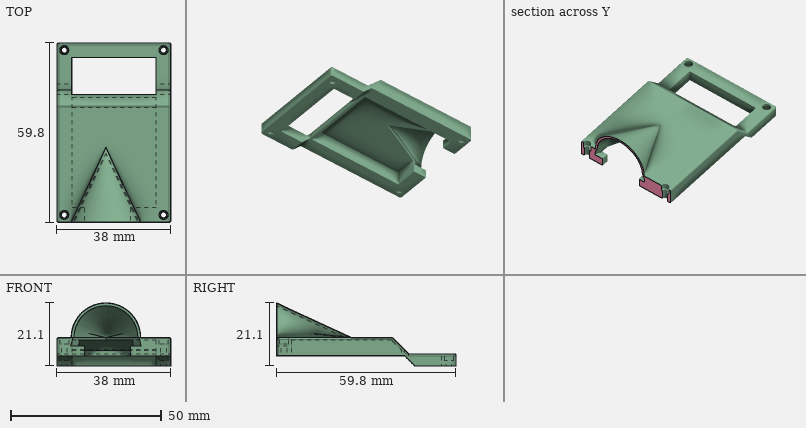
import cadquery as cq

width = 37.95
length = 59.8
total_height = 21.1

deck_top = 9.5
deck_underside = 3.45
low_deck_top = 4.1
slope_foot_y = 44.0
slope_crest_y = slope_foot_y - (deck_top - low_deck_top)
under_step_y = 42.6
edge_radius = 0.65

wall = 4.95
inner_width = width - 2 * wall
roof_thickness = 0.85
cavity_end_y = 41.6
slope_underside_drop = 1.2

hood_x = 16.3
hood_length = 25.0
hood_radius = total_height - deck_top
hood_wall = 0.95
hood_inner_radius = hood_radius - hood_wall
hood_inner_length = hood_length * hood_inner_radius / hood_radius
shelf_z = 6.7
mouth_bottom_half_width = 11.7
mouth_top_half_width = 11.0
notch_x = 16.85
notch_width = 15.35

hole_inset = 2.45
hole_diameter = 2.0
counterbore_diameter = 3.0
counterbore_depth = 2.15


def side_extrusion(points, x_start, x_length):
    """Extrude a (y, z) outline along X."""
    return cq.Workplane("YZ", origin=(x_start, 0, 0)).polyline(points).close().extrude(x_length)


def box_between(x_start, x_end, y_start, y_end, z_start, z_end):
    size = (x_end - x_start, y_end - y_start, z_end - z_start)
    return cq.Workplane("XY", origin=(x_start, y_start, z_start)).box(*size, centered=False)


def make_plate():
    outline = [
        (0, deck_underside),
        (under_step_y, deck_underside),
        (under_step_y + deck_underside, 0),
        (length, 0),
        (length, low_deck_top),
        (slope_foot_y, low_deck_top),
        (slope_crest_y, deck_top),
        (0, deck_top),
    ]
    plate = side_extrusion(outline, 0, width)
    crest = plate.edges(cq.NearestToPointSelector((width / 2, slope_crest_y, deck_top)))
    back_top = plate.edges(cq.NearestToPointSelector((width / 2, length, low_deck_top)))
    upper_side_edges = plate.edges("#X").edges(
        cq.selectors.BoxSelector(
            (-width, -length, low_deck_top - edge_radius / 2),
            (2 * width, length - wall, total_height),
        )
    )
    upper_side_edges = upper_side_edges.edges("not |Z")
    rounded = plate.edges("|Z").add(upper_side_edges).add(crest).add(back_top)
    return rounded.fillet(edge_radius)


def half_cone(radius, height):
    """Upper half of a cone on the deck, with its base on the front face."""
    profile = [(0, 0), (radius, 0), (0, height)]
    half_turn = 180
    return (
        cq.Workplane("XY", origin=(hood_x, 0, deck_top))
        .polyline(profile)
        .close()
        .revolve(half_turn, (0, 0, 0), (0, -1, 0))
    )


def mouth_triangle(half_width):
    return [(hood_x - half_width, 0), (hood_x + half_width, 0), (hood_x, hood_inner_length)]


def make_mouth():
    """Wedge below the hood, narrowing towards the hood tip and the deck."""
    return (
        cq.Workplane("XY", origin=(0, 0, shelf_z))
        .polyline(mouth_triangle(mouth_bottom_half_width))
        .close()
        .workplane(offset=deck_top - shelf_z)
        .polyline(mouth_triangle(mouth_top_half_width))
        .close()
        .loft(ruled=True)
    )


def make_cavity():
    """Space below the deck; its back end follows the slope, then drops straight."""
    ceiling_z = deck_top - roof_thickness
    slope_end_z = low_deck_top + slope_foot_y - cavity_end_y - slope_underside_drop
    ceiling_end_y = cavity_end_y - (ceiling_z - slope_end_z)
    outline = [
        (wall, 0),
        (cavity_end_y, 0),
        (cavity_end_y, slope_end_z),
        (ceiling_end_y, ceiling_z),
        (wall, ceiling_z),
    ]
    return side_extrusion(outline, wall, inner_width)


def make_window():
    return box_between(wall, width - wall, under_step_y, length - wall, 0, deck_top)


def make_notch():
    """Opening through the front wall below the shelf."""
    return box_between(notch_x - notch_width / 2, notch_x + notch_width / 2, 0, wall, 0, shelf_z)


def screw_hole(x, y, top_z):
    shaft = cq.Workplane("XY", origin=(x, y, 0)).circle(hole_diameter / 2).extrude(top_z)
    counterbore = (
        cq.Workplane("XY", origin=(x, y, top_z))
        .circle(counterbore_diameter / 2)
        .extrude(-counterbore_depth)
    )
    return shaft.union(counterbore)


result = make_plate().union(half_cone(hood_radius, hood_length))
result = result.cut(make_cavity()).cut(make_window()).cut(make_notch())
result = result.cut(half_cone(hood_inner_radius, hood_inner_length)).cut(make_mouth())
for hole_x in (hole_inset, width - hole_inset):
    result = result.cut(screw_hole(hole_x, hole_inset, deck_top))
    result = result.cut(screw_hole(hole_x, length - hole_inset, low_deck_top))